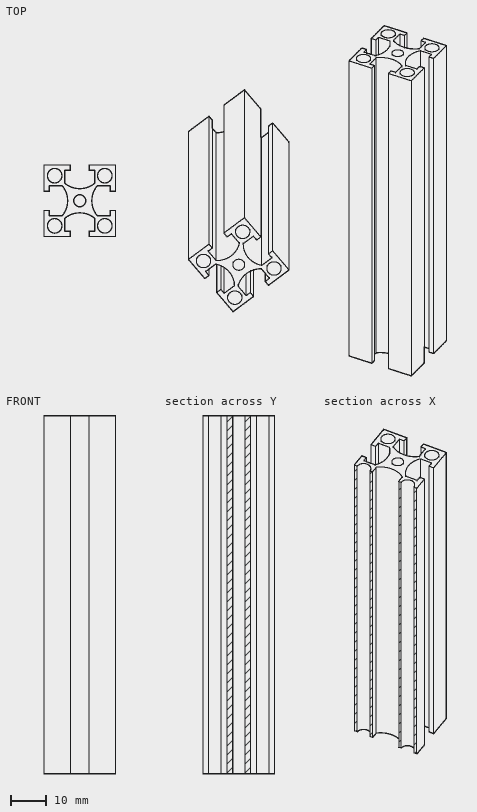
import cadquery as cq

side = 20.0
length = 100.0

opening_width = 5.3
lip_thickness = 1.5
chamber_width = 8.3
floor_edge = 4.9
floor_middle = 3.4

center_bore_diameter = 3.3
corner_bore_diameter = 4.0
corner_bore_spacing = 14.0


def make_slot():
    """Slot cutter for the +Y side: narrow opening, wide chamber, arched floor."""
    half_opening = opening_width / 2
    half_chamber = chamber_width / 2
    face = side / 2
    lip = face - lip_thickness
    return (
        cq.Workplane("XY")
        .moveTo(-half_opening, face)
        .lineTo(-half_opening, lip)
        .lineTo(-half_chamber, lip)
        .lineTo(-half_chamber, floor_edge)
        .threePointArc((0, floor_middle), (half_chamber, floor_edge))
        .lineTo(half_chamber, lip)
        .lineTo(half_opening, lip)
        .lineTo(half_opening, face)
        .close()
        .extrude(length)
    )


def make_bores():
    """Centre bore and four corner bores."""
    center_bore = cq.Workplane("XY").circle(center_bore_diameter / 2).extrude(length)
    corner_bores = (
        cq.Workplane("XY")
        .rarray(corner_bore_spacing, corner_bore_spacing, 2, 2)
        .circle(corner_bore_diameter / 2)
        .extrude(length)
    )
    return center_bore.add(corner_bores).combine()


result = cq.Workplane("XY").rect(side, side).extrude(length)

slot = make_slot()
for angle in (0, 90, 180, 270):
    result = result.cut(slot.rotate((0, 0, 0), (0, 0, 1), angle))

result = result.cut(make_bores())